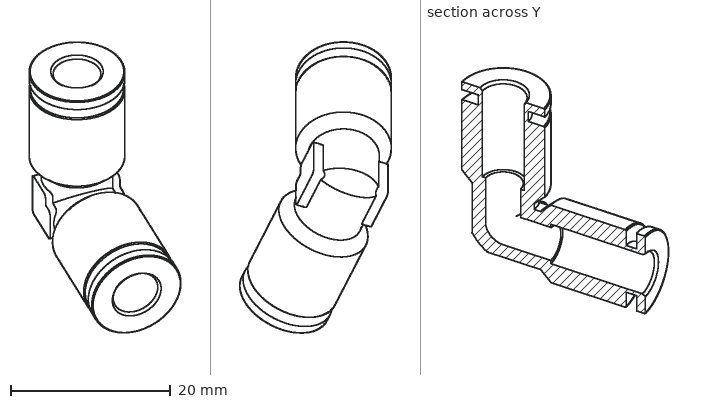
import cadquery as cq

overall = 26.5
body_diameter = 12.0
neck_diameter = 9.0
stem_diameter = 7.3

body_radius = body_diameter / 2
neck_radius = neck_diameter / 2
stem_radius = stem_diameter / 2

branch_length = overall - body_radius
flange_thickness = 1.3
stem_gap = 1.45
flange_base = branch_length - flange_thickness
body_end = flange_base - stem_gap
body_start = 6.9
neck_end = body_start - (body_radius - neck_radius)
flange_chamfer = 0.13
body_chamfer = 0.15

socket_radius = 6.0 / 2
passage_radius = 5.0 / 2
socket_floor = body_start
mouth_chamfer_width = 0.3
mouth_chamfer_depth = 0.42

bend_center = 0.72
bend_radius = 1.5
corner_start = -1.05
cutter_size = 2 * body_radius

pad_half_width = 5.0
pad_low = -2.55
pad_high = 3.55
pad_notch = 2.0
pad_corner_radius = 0.53
notch_radius = 0.3


def revolve_about_z(points):
    """Solid of revolution from (radius, height) points."""
    return cq.Workplane("XZ").polyline(points).close().revolve(360, (0, 0, 0), (0, 1, 0))


def both_branches(upright):
    """Join an upright shape with its mirror image along +X."""
    sideways = upright.rotate((0, 0, 0), (0, 1, 0), 90).mirror("XY")
    return upright.union(sideways)


def neck_elbow():
    """Two mitred neck cylinders with the outer corner rounded to a torus."""
    upright = cq.Workplane("XY").workplane(offset=-cutter_size).circle(neck_radius).extrude(cutter_size + neck_end)
    above_mitre = (
        cq.Workplane("XZ", origin=(0, cutter_size, 0))
        .polyline([(-cutter_size, -cutter_size), (cutter_size, cutter_size), (-cutter_size, cutter_size)])
        .close()
        .extrude(2 * cutter_size)
    )
    elbow = both_branches(upright.intersect(above_mitre))

    bend = (
        cq.Workplane("XY")
        .moveTo(0, -neck_radius)
        .lineTo(bend_radius, -neck_radius)
        .threePointArc((bend_radius + neck_radius, 0), (bend_radius, neck_radius))
        .lineTo(0, neck_radius)
        .close()
        .revolve(360, (0, 0, 0), (0, 1, 0))
        .translate((bend_center, 0, bend_center))
    )
    corner = cq.Workplane("XY").box(cutter_size, cutter_size, cutter_size, centered=(False, True, False))
    corner = corner.translate((corner_start - cutter_size, 0, corner_start - cutter_size))
    return elbow.cut(corner.cut(bend))


def branch_exterior():
    """Shoulder, body, stem and release flange of the upright branch."""
    return revolve_about_z([
        (0, neck_end),
        (neck_radius, neck_end),
        (body_radius, body_start),
        (body_radius, body_end - body_chamfer),
        (body_radius - body_chamfer, body_end),
        (stem_radius, body_end),
        (stem_radius, flange_base),
        (body_radius, flange_base),
        (body_radius, branch_length - flange_chamfer),
        (body_radius - flange_chamfer, branch_length),
        (0, branch_length),
    ])


def branch_bore():
    """Stepped bore of the upright branch, from the mouth to the origin."""
    return revolve_about_z([
        (0, 0),
        (passage_radius, 0),
        (passage_radius, socket_floor),
        (socket_radius, socket_floor),
        (socket_radius, branch_length - mouth_chamfer_depth),
        (socket_radius + mouth_chamfer_width, branch_length),
        (0, branch_length),
    ])


def pads():
    """Notched square block whose ends form the two flat pads."""
    block = (
        cq.Workplane("XZ")
        .polyline([
            (pad_low, pad_low),
            (pad_high, pad_low),
            (pad_high, pad_notch),
            (pad_notch, pad_notch),
            (pad_notch, pad_high),
            (pad_low, pad_high),
        ])
        .close()
        .extrude(pad_half_width, both=True)
    )
    notch_edge = cq.selectors.NearestToPointSelector((pad_notch, 0, pad_notch))
    all_corners = cq.selectors.ParallelDirSelector(cq.Vector(0, 1, 0))
    outer_edges = cq.selectors.SubtractSelector(all_corners, notch_edge)
    return block.edges(outer_edges).fillet(pad_corner_radius).edges(notch_edge).fillet(notch_radius)


exterior = neck_elbow().union(both_branches(branch_exterior())).union(pads())
bores = both_branches(branch_bore()).union(cq.Workplane("XY").sphere(passage_radius))
result = exterior.cut(bores)